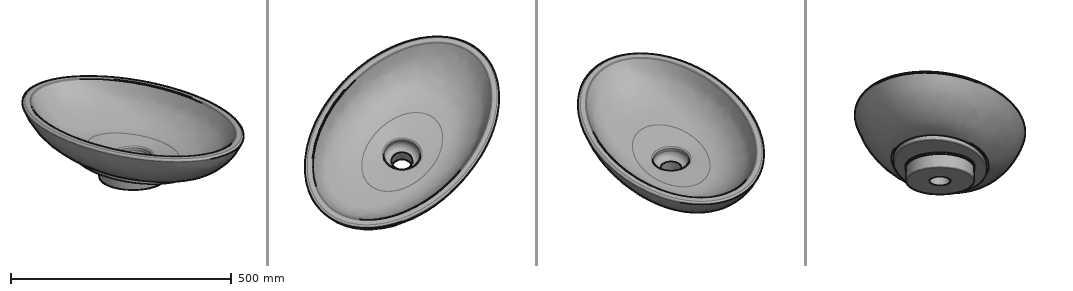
import cadquery as cq
import math

rim_edge_z = -6.0
outer_bottom_z = -100.0
foot_bottom_z = -111.0
collar_bottom_z = -115.0
base_z = -147.0
seat_z = -82.0
drain_edge_z = -90.5
drain_bottom_z = -118.0

rim_half = (288.5, 188.5)
outer_middle_half = (257.5, 165.5)
outer_bottom_half = (155.0, 108.5)
foot_half = (150.5, 104.0)
inner_rim_half = (269.5, 170.0)
inner_middle_half = (224.5, 145.5)
seat_half = (119.0, 79.0)

collar_radius = 79.0
spigot_radius = 77.5
drain_edge_radius = 45.0
drain_wall_radius = 41.5
hole_diameter = 48.0

rim_fillet = 5.0
bottom_edge_fillet = 2.0
inner_rim_fillet = 2.5
outer_middle_z = -52.0
inner_middle_z = -46.0
section_count = 9


def arc_through(first, middle, last):
    """Return center (r, z) and radius of the circle through three (r, z) points."""
    (r1, z1), (r2, z2), (r3, z3) = first, middle, last
    s1, s2, s3 = r1**2 + z1**2, r2**2 + z2**2, r3**2 + z3**2
    double_area = 2 * (r1 * (z2 - z3) + r2 * (z3 - z1) + r3 * (z1 - z2))
    center_r = (s1 * (z2 - z3) + s2 * (z3 - z1) + s3 * (z1 - z2)) / double_area
    center_z = (s1 * (r3 - r2) + s2 * (r1 - r3) + s3 * (r2 - r1)) / double_area
    return center_r, center_z, math.hypot(r1 - center_r, z1 - center_z)


def ellipse_wire(half, z):
    return cq.Workplane("XY", origin=(0, 0, z)).ellipse(*half).val()


def bowl(top_half, top_z, middle_half, middle_z, bottom_half, bottom_z):
    """Solid with elliptical sections whose X and Y side profiles are circular arcs."""
    arcs = [
        arc_through((top, top_z), (middle, middle_z), (bottom, bottom_z))
        for top, middle, bottom in zip(top_half, middle_half, bottom_half)
    ]
    wires = []
    for index in range(section_count):
        fraction = math.sin(math.pi / 2 * index / (section_count - 1))
        z = top_z + (bottom_z - top_z) * fraction
        half = [r + math.sqrt(radius**2 - (z - center_z) ** 2) for r, center_z, radius in arcs]
        wires.append(ellipse_wire(half, z))
    return cq.Workplane(cq.Solid.makeLoft(wires))


def elliptical_disc(half, top_z, bottom_z):
    return cq.Workplane("XY", origin=(0, 0, bottom_z)).ellipse(*half).extrude(top_z - bottom_z)


def round_disc(radius, top_z, bottom_z):
    return cq.Workplane("XY", origin=(0, 0, bottom_z)).circle(radius).extrude(top_z - bottom_z)


rim_band = elliptical_disc(rim_half, 0, rim_edge_z).faces(">Z").edges().fillet(rim_fillet)
outer_bowl = bowl(
    rim_half, rim_edge_z, outer_middle_half, outer_middle_z, outer_bottom_half, outer_bottom_z
)
foot = elliptical_disc(foot_half, outer_bottom_z, foot_bottom_z)
foot = foot.faces("<Z").edges().fillet(bottom_edge_fillet)
collar = round_disc(collar_radius, foot_bottom_z, collar_bottom_z)
spigot = round_disc(spigot_radius, collar_bottom_z, base_z)
spigot = spigot.faces("<Z").edges().fillet(bottom_edge_fillet)
body = rim_band.union(outer_bowl).union(foot).union(collar).union(spigot)

basin = bowl(inner_rim_half, 0, inner_middle_half, inner_middle_z, seat_half, seat_z)
drain_edge = (drain_edge_radius, drain_edge_radius)
floor = cq.Workplane(
    cq.Solid.makeLoft(
        [ellipse_wire(seat_half, seat_z), ellipse_wire(drain_edge, drain_edge_z)], True
    )
)

hole_radius = hole_diameter / 2
bottom_round = drain_wall_radius - hole_radius
lip_radius = drain_edge_radius - drain_wall_radius
drain = (
    cq.Workplane("XZ")
    .moveTo(0, drain_edge_z)
    .lineTo(drain_edge_radius, drain_edge_z)
    .radiusArc((drain_wall_radius, drain_edge_z - lip_radius), -lip_radius)
    .lineTo(drain_wall_radius, drain_bottom_z + bottom_round)
    .radiusArc((hole_radius, drain_bottom_z), bottom_round)
    .lineTo(hole_radius, base_z)
    .lineTo(0, base_z)
    .close()
    .revolve(360, (0, 0), (0, 1))
)

hollow = body.cut(basin).cut(floor).cut(drain)
selection_margin = 0.5
box_x, box_y = [half + selection_margin for half in inner_rim_half]
inner_rim_box = cq.selectors.BoxSelector(
    (-box_x, -box_y, -selection_margin),
    (box_x, box_y, selection_margin),
    boundingbox=True,
)
result = hollow.edges(inner_rim_box).fillet(inner_rim_fillet)